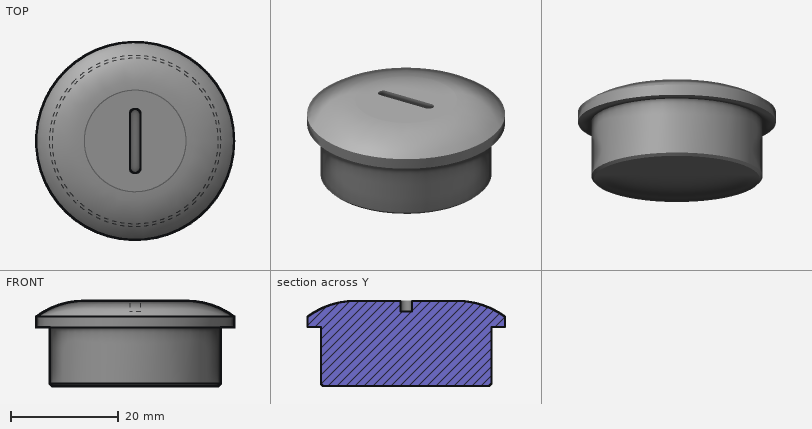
import cadquery as cq
import math

body_diameter = 32.0
body_height = 11.0
bottom_chamfer = 0.5
flange_diameter = 37.0
rim_height = 2.0
dome_height = 3.0
top_flat_diameter = 19.0
slot_length = 12.0
slot_width = 2.0
slot_depth = 2.0

body_radius = body_diameter / 2
flange_radius = flange_diameter / 2
top_flat_radius = top_flat_diameter / 2
rim_top = body_height + rim_height
total_height = rim_top + dome_height

dome_run = flange_radius - top_flat_radius
dome_arc_radius = (dome_run**2 + dome_height**2) / (2 * dome_height)
dome_half_angle = math.asin(dome_run / dome_arc_radius) / 2
dome_mid_radius = top_flat_radius + dome_arc_radius * math.sin(dome_half_angle)
dome_mid_height = total_height - dome_arc_radius * (1 - math.cos(dome_half_angle))


def make_plug():
    """Round body with a wider domed head, revolved about the Z axis."""
    return (
        cq.Workplane("XZ")
        .moveTo(0, 0)
        .lineTo(body_radius - bottom_chamfer, 0)
        .lineTo(body_radius, bottom_chamfer)
        .lineTo(body_radius, body_height)
        .lineTo(flange_radius, body_height)
        .lineTo(flange_radius, rim_top)
        .threePointArc((dome_mid_radius, dome_mid_height), (top_flat_radius, total_height))
        .lineTo(0, total_height)
        .close()
        .revolve(360, (0, 0, 0), (0, 1, 0))
    )


def make_slot():
    """Round-ended slot along Y, sunk from the flat top."""
    return (
        cq.Workplane("XY")
        .workplane(offset=total_height - slot_depth)
        .slot2D(slot_length, slot_width, angle=90)
        .extrude(slot_depth)
    )


result = make_plug().cut(make_slot())